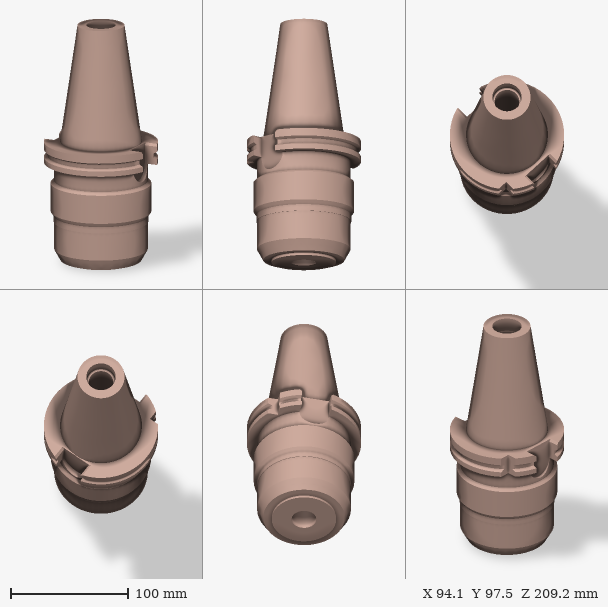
import cadquery as cq
import math

GAUGE_RADIUS = 69.85 / 2
TAPER_LENGTH = 101.75
TAPER_RATIO = 7 / 24
GAUGE_Z = 107.4
TOP_Z = GAUGE_Z + TAPER_LENGTH
TAPER_TOP_RADIUS = GAUGE_RADIUS - TAPER_LENGTH * TAPER_RATIO / 2

FLANGE_RADIUS = 97.5 / 2
FLANGE_TOP_Z = GAUGE_Z - 1.0
FLANGE_BOTTOM_Z = GAUGE_Z - 19.1
GROOVE_CENTRE_Z = GAUGE_Z - 11.1
GROOVE_WIDTH = 7.0
GROOVE_FLOOR_RADIUS = 45.85
GROOVE_FLANK_ANGLE = 30

NECK_RADIUS = 40.0
COLLAR_RADIUS = 43.0
COLLAR_CHAMFER_TOP_Z = 72.4
COLLAR_TOP_Z = 69.9
COLLAR_BOTTOM_Z = 45.1
COLLAR_CHAMFER_BOTTOM_Z = 41.5
BAND_RADIUS = 40.5
BAND_BOTTOM_Z = 35.9
NUT_RADIUS = 40.0
NUT_CONE_TOP_Z = 11.8
NUT_FACE_RADIUS = 34.7
NOSE_RADIUS = 27.5
NOSE_HEIGHT = 2.3

BORE_RADIUS = 10.6
COUNTERBORE_RADIUS = 12.5
COUNTERBORE_DEPTH = 12.0

KEYWAY_WIDTH = 25.7
KEYWAY_BOTTOM_Z = 75.5
KEYWAY_FLOOR_LEFT = 37.5
KEYWAY_FLOOR_RIGHT = 35.4
KEYWAY_CHAMFER = 2.0

NOTCH_X = -30.0
NOTCH_Y = 29.85


def turned_body():
    """Revolve the outer profile, given as (radius, z), about Z."""
    flank = (FLANGE_RADIUS - GROOVE_FLOOR_RADIUS) * math.tan(math.radians(GROOVE_FLANK_ANGLE))
    half_rim = GROOVE_WIDTH / 2
    half_floor = half_rim - flank
    profile = [
        (0, 0),
        (NOSE_RADIUS, 0),
        (NOSE_RADIUS, NOSE_HEIGHT),
        (NUT_FACE_RADIUS, NOSE_HEIGHT),
        (NUT_RADIUS, NUT_CONE_TOP_Z),
        (NUT_RADIUS, BAND_BOTTOM_Z),
        (BAND_RADIUS, BAND_BOTTOM_Z),
        (BAND_RADIUS, COLLAR_CHAMFER_BOTTOM_Z),
        (COLLAR_RADIUS, COLLAR_BOTTOM_Z),
        (COLLAR_RADIUS, COLLAR_TOP_Z),
        (NECK_RADIUS, COLLAR_CHAMFER_TOP_Z),
        (NECK_RADIUS, FLANGE_BOTTOM_Z),
        (FLANGE_RADIUS, FLANGE_BOTTOM_Z),
        (FLANGE_RADIUS, GROOVE_CENTRE_Z - half_rim),
        (GROOVE_FLOOR_RADIUS, GROOVE_CENTRE_Z - half_floor),
        (GROOVE_FLOOR_RADIUS, GROOVE_CENTRE_Z + half_floor),
        (FLANGE_RADIUS, GROOVE_CENTRE_Z + half_rim),
        (FLANGE_RADIUS, FLANGE_TOP_Z),
        (GAUGE_RADIUS, FLANGE_TOP_Z),
        (GAUGE_RADIUS, GAUGE_Z),
        (TAPER_TOP_RADIUS, TOP_Z),
        (0, TOP_Z),
    ]
    return cq.Workplane("YZ").polyline(profile).close().revolve(360, (0, 0, 0), (0, 1, 0))


def bore():
    """Through bore with the counterbore at the small end of the taper."""
    through = cq.Workplane("XY").circle(BORE_RADIUS).extrude(TOP_Z)
    counterbore = (
        cq.Workplane("XY", origin=(0, 0, TOP_Z - COUNTERBORE_DEPTH))
        .circle(COUNTERBORE_RADIUS)
        .extrude(COUNTERBORE_DEPTH)
    )
    return through.union(counterbore)


def keyway(floor_distance, side):
    """Round-bottomed keyway with chamfered top edges; side is -1 for -X, +1 for +X."""
    half_width = KEYWAY_WIDTH / 2
    arc_centre_z = KEYWAY_BOTTOM_Z + half_width
    edge_z = FLANGE_TOP_Z - KEYWAY_CHAMFER
    mouth = half_width + KEYWAY_CHAMFER
    return (
        cq.Workplane("YZ", origin=(side * floor_distance, 0, 0))
        .moveTo(-half_width, arc_centre_z)
        .threePointArc((0, KEYWAY_BOTTOM_Z), (half_width, arc_centre_z))
        .lineTo(half_width, edge_z)
        .lineTo(mouth, FLANGE_TOP_Z)
        .lineTo(-mouth, FLANGE_TOP_Z)
        .lineTo(-half_width, edge_z)
        .close()
        .extrude(side * FLANGE_RADIUS)
    )


def orientation_notch():
    """Square-cornered notch through the full flange thickness."""
    thickness = FLANGE_TOP_Z - FLANGE_BOTTOM_Z
    return (
        cq.Workplane("XY")
        .box(FLANGE_RADIUS, FLANGE_RADIUS, thickness, centered=False)
        .translate((NOTCH_X - FLANGE_RADIUS, NOTCH_Y, FLANGE_BOTTOM_Z))
    )


result = (
    turned_body()
    .cut(bore())
    .cut(keyway(KEYWAY_FLOOR_LEFT, -1))
    .cut(keyway(KEYWAY_FLOOR_RIGHT, 1))
    .cut(orientation_notch())
)